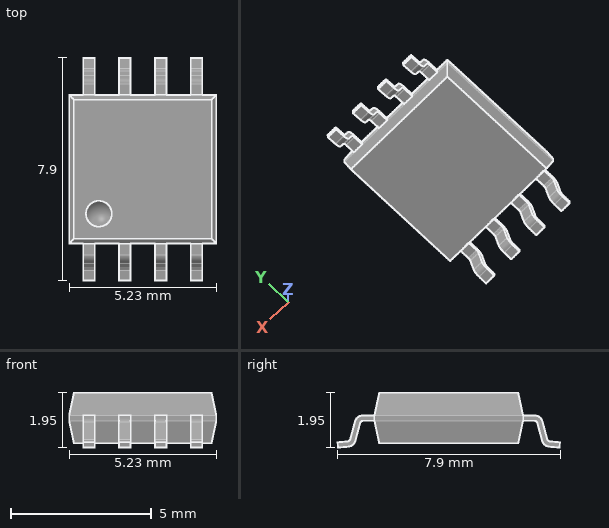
import cadquery as cq
import math

lead_span = 7.9
total_height = 1.95

body_width = 5.23
body_length = 5.28
body_height = 1.8
taper_angle = 12.0

lead_count = 4
lead_pitch = 1.27
lead_width = 0.42
lead_thickness = 0.2
shoulder_length = 0.63
leg_angle = 15.0
foot_angle = 5.0
inner_bend_radius = 0.1
outer_bend_radius = inner_bend_radius + lead_thickness

dimple_x = -1.56
dimple_y = -1.58
dimple_radius = 0.46
dimple_depth = 0.25

body_bottom = total_height - body_height
taper_height = (body_height - lead_thickness) / 2
band_bottom = body_bottom + taper_height
band_top = band_bottom + lead_thickness


def make_body():
    band = (
        cq.Workplane("XY")
        .workplane(offset=band_bottom)
        .rect(body_width, body_length)
        .extrude(lead_thickness)
    )
    upper = band.faces(">Z").wires().toPending().extrude(taper_height, taper=taper_angle, combine=False)
    middle = (band_bottom + band_top) / 2
    lower = upper.mirror("XY", (0, 0, middle))
    return band.union(upper).union(lower)


def leg_foot_corner(shoulder, tip):
    """Point where the leg line from the shoulder corner meets the foot line from the tip."""
    leg_run = math.tan(math.radians(leg_angle))
    foot_rise = math.tan(math.radians(foot_angle))
    shoulder_y, shoulder_z = shoulder
    tip_y, tip_z = tip
    drop = (shoulder_z - tip_z - foot_rise * (tip_y - shoulder_y)) / (1 - foot_rise * leg_run)
    return shoulder_y + drop * leg_run, shoulder_z - drop


def make_lead():
    """One lead on the +Y side, centred on X = 0."""
    root_y = body_length / 2
    tip_lean = lead_thickness * math.sin(math.radians(foot_angle))
    tip_height = lead_thickness * math.cos(math.radians(foot_angle))
    tip_top = (lead_span / 2, tip_height)
    tip_bottom = (lead_span / 2 - tip_lean, 0)
    shoulder_shift = lead_thickness * math.tan(math.radians(90 - leg_angle) / 2)

    upper_outer = (root_y + shoulder_length, band_top)
    upper_inner = (upper_outer[0] - shoulder_shift, band_bottom)
    lower_inner = leg_foot_corner(upper_outer, tip_top)
    lower_outer = leg_foot_corner(upper_inner, tip_bottom)

    profile = [
        (root_y, band_top),
        upper_outer,
        lower_inner,
        tip_top,
        tip_bottom,
        lower_outer,
        upper_inner,
        (root_y, band_bottom),
    ]
    lead = cq.Workplane("YZ").polyline(profile).close().extrude(lead_width / 2, both=True)

    bends = [
        (upper_outer, outer_bend_radius),
        (upper_inner, inner_bend_radius),
        (lower_inner, inner_bend_radius),
        (lower_outer, outer_bend_radius),
    ]
    for (y, z), radius in bends:
        lead = lead.edges(cq.NearestToPointSelector((0, y, z))).fillet(radius)
    return lead


def make_dimple():
    sphere_radius = (dimple_radius**2 + dimple_depth**2) / (2 * dimple_depth)
    center_z = total_height - dimple_depth + sphere_radius
    return cq.Workplane("XY").sphere(sphere_radius).translate((dimple_x, dimple_y, center_z))


part = make_body()
lead = make_lead()
for index in range(lead_count):
    lead_x = (index - (lead_count - 1) / 2) * lead_pitch
    back_lead = lead.translate((lead_x, 0, 0))
    part = part.union(back_lead).union(back_lead.mirror("XZ"))

result = part.cut(make_dimple())